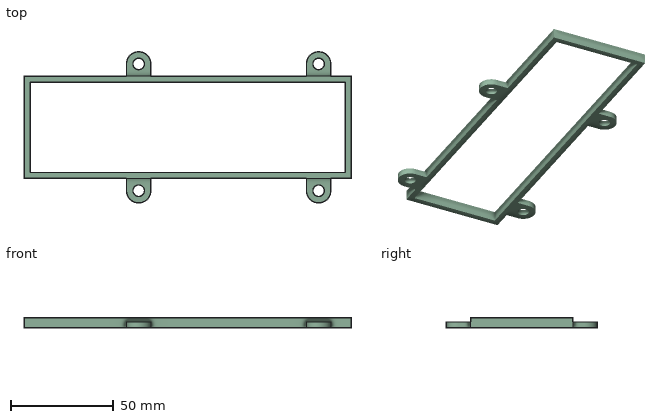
import cadquery as cq

frame_length = 160.0
frame_width = 50.0
frame_height = 5.0
wall = 3.0

tab_width = 12.0
tab_reach = 12.0
tab_thickness = 3.0
hole_diameter = 5.5
first_tab_from_left = 56.0
tab_spacing = 88.0

tab_radius = tab_width / 2
hole_offset = tab_reach - tab_radius
first_tab_x = first_tab_from_left - frame_length / 2
tab_positions = [first_tab_x, first_tab_x + tab_spacing]


def make_frame():
    """Open rectangular frame with a constant wall."""
    return (
        cq.Workplane("XY")
        .rect(frame_length, frame_width)
        .rect(frame_length - 2 * wall, frame_width - 2 * wall)
        .extrude(frame_height)
    )


def make_tab(x, side):
    """Round-ended tab with a through hole; side is +1 for +Y, -1 for -Y."""
    root_y = side * frame_width / 2
    hole_y = root_y + side * hole_offset
    tip_y = root_y + side * tab_reach
    sunk_y = root_y - side * wall / 2
    body = (
        cq.Workplane("XY")
        .moveTo(x - tab_radius, sunk_y)
        .lineTo(x - tab_radius, hole_y)
        .threePointArc((x, tip_y), (x + tab_radius, hole_y))
        .lineTo(x + tab_radius, sunk_y)
        .close()
        .extrude(tab_thickness)
    )
    hole = cq.Workplane("XY").center(x, hole_y).circle(hole_diameter / 2).extrude(tab_thickness)
    return body.cut(hole)


result = make_frame()
for tab_x in tab_positions:
    for tab_side in (1, -1):
        result = result.union(make_tab(tab_x, tab_side))